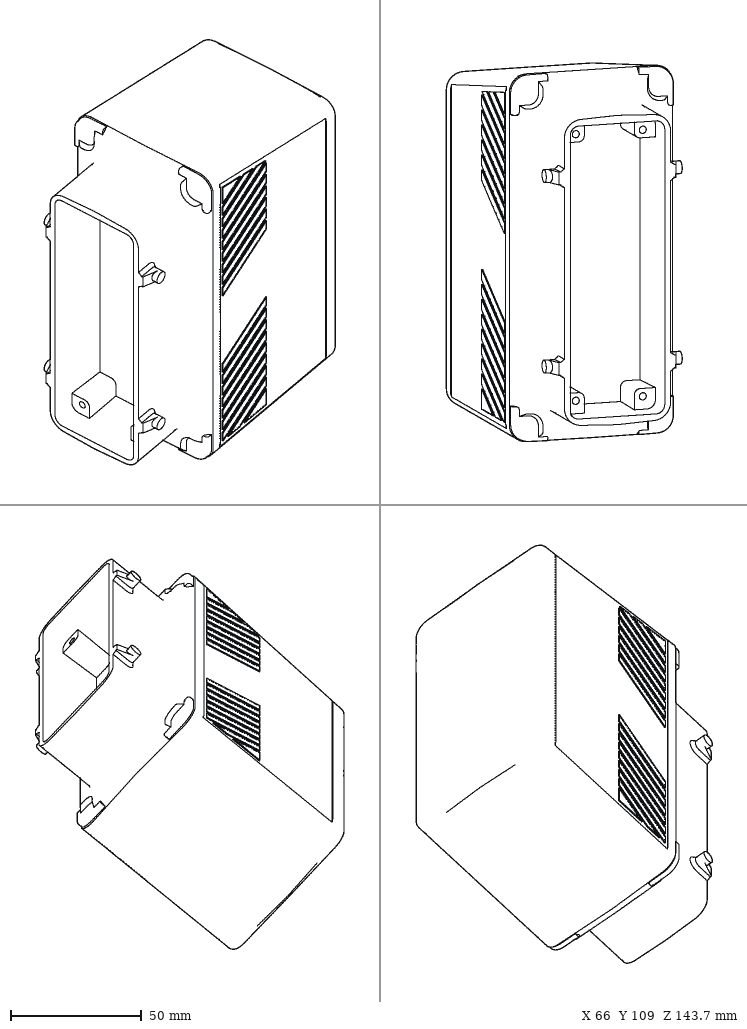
import cadquery as cq
import math


HALF_WIDTH = 33.005
REAR_Y = 82.3
RIM_Y = 5.0
ROOF_PEAK_Z = 143.67
ROOF_ANGLE = 10.0
CORNER_RADIUS = 7.0
REAR_FILLET = 2.4
RIDGE = 0.5
FACE_INSET = 5.0
FACE_HALF_HEIGHT = 67.65
FACE_RADIUS = 2.5
FACE_FILLET = 2.0
MID_Z = 71.35

PAD_Y = 2.0
PAD_INSET = 0.4
PAD_FILLET = 1.0
PAD_INNER_X = 22.3
PAD_INNER_Z = 60.7
PAD_INNER_RADIUS = 4.0
PAD_WALL_RUN = 1.2
LUG_REACH = 3.8
LUG_THICKNESS = 3.0
LUG_RADIUS = 1.2

SHROUD_LENGTH = 26.67
SHROUD_HALF_WIDTH = 21.5
SHROUD_HEIGHT = 119.5
SHROUD_RIDGE = 0.65
ROOT_FILLET = 1.5
CAVITY_DEPTH = 26.2
CAVITY_HALF_WIDTH = 19.1
CAVITY_HEIGHT = 114.4
CAVITY_RADIUS = 3.5
SIDE_DRAFT = 1.2
END_DRAFT = 0.25

POST_LENGTH = 16.4
POST_INNER_X = 10.1
POST_INNER_Z = 48.95
POST_RADIUS = 2.4
SCREW_X = 13.55
SCREW_Z = 52.05
SCREW_DIAMETER = 2.8
SCREW_DEPTH = 10.0

PIN_Z = 37.2
PIN_Y = -20.3
PIN_RADIUS = 2.5
PIN_TIP_X = 27.5
PIN_BASE_X = 23.1
PIN_BASE_FLARE = 1.2
RIB_TOP_X = 25.8
RIB_END_X = 23.6

PANEL_DEPTH = 0.4
PANEL_FRONT_Y = 9.5
PANEL_REAR_Y = 75.2
PANEL_BOTTOM_Z = 4.5
PANEL_ROOF_GAP = 4.5
STRIPE_FRONT_Y = 11.1
STRIPE_REAR_Y = 38.1
STRIPE_BOTTOM_Z = 6.85
STRIPE_ROOF_GAP = 6.9
STRIPE_ANGLE = 30.0
STRIPE_PITCH = 5.85
STRIPE_HEIGHT = 4.1
STRIPE_COUNT = 9
UPPER_GROUP_Z = 96.2
LOWER_GROUP_Z = 61.5

ROOF_SLOPE = math.tan(math.radians(ROOF_ANGLE))
STRIPE_SLOPE = math.tan(math.radians(STRIPE_ANGLE))
SIDES = (-1, 1)
OVERRUN = 8.0
SELECT_MARGIN = 0.1


def roof_z(y):
    """Height of the sloping roof above depth y."""
    return ROOF_PEAK_Z - (y - RIM_Y) * ROOF_SLOPE


def xz_plane(y):
    """Workplane at depth y whose normal points to -Y."""
    return cq.Workplane("XZ", origin=(0, y, 0))


def ridged_outline(plane, half_width, bottom, top, radius, ridge):
    """Rounded rectangle whose top and bottom edges rise to a shallow ridge at X = 0."""
    straight_x = half_width - radius
    bulge = radius * (1 - math.sqrt(0.5))
    return (
        plane.moveTo(-straight_x, bottom)
        .lineTo(0, bottom - ridge)
        .lineTo(straight_x, bottom)
        .threePointArc((half_width - bulge, bottom + bulge), (half_width, bottom + radius))
        .lineTo(half_width, top - radius)
        .threePointArc((half_width - bulge, top - bulge), (straight_x, top))
        .lineTo(0, top + ridge)
        .lineTo(-straight_x, top)
        .threePointArc((bulge - half_width, top - bulge), (-half_width, top - radius))
        .lineTo(-half_width, bottom + radius)
        .threePointArc((bulge - half_width, bottom + bulge), (-straight_x, bottom))
        .close()
    )


def hood_outline(plane, y, inset=0.0):
    return ridged_outline(
        plane, HALF_WIDTH - inset, inset, roof_z(y) - inset, CORNER_RADIUS - inset, RIDGE
    )


def yz_prism(points, x_start, x_end):
    """Prism along X from points given as (y, z)."""
    plane = cq.Workplane("YZ", origin=(x_start, 0, 0))
    return plane.polyline(points).close().extrude(x_end - x_start)


def make_hood():
    rear_distance = REAR_Y - RIM_Y
    front = hood_outline(xz_plane(RIM_Y), RIM_Y)
    body = hood_outline(front.workplane(offset=-rear_distance), REAR_Y).loft(ruled=True)
    body = body.faces(">Y").edges().fillet(REAR_FILLET)
    bevel = ridged_outline(
        hood_outline(xz_plane(RIM_Y), RIM_Y).workplane(offset=RIM_Y),
        HALF_WIDTH - FACE_INSET, MID_Z - FACE_HALF_HEIGHT, MID_Z + FACE_HALF_HEIGHT,
        FACE_RADIUS, RIDGE,
    ).loft(ruled=True)
    bevel = bevel.faces("<Y").edges().fillet(FACE_FILLET)
    envelope = yz_prism(
        [(0, 0), (REAR_Y, 0), (REAR_Y, roof_z(REAR_Y)), (0, roof_z(0))], -HALF_WIDTH, HALF_WIDTH
    )
    return body.union(bevel).intersect(envelope)


def corner_block(side, end, inner_x, inner_z, inner_radius):
    """Block over one hood corner, running outward past the hood outline; inner_z is from MID_Z."""
    width = HALF_WIDTH + OVERRUN - inner_x
    height = MID_Z + OVERRUN - inner_z
    x_mid = side * (inner_x + width / 2)
    z_mid = MID_Z + end * (inner_z + height / 2)
    outline = cq.Sketch().rect(width, height).vertices().fillet(inner_radius)
    return xz_plane(RIM_Y).center(x_mid, z_mid).placeSketch(outline).extrude(RIM_Y - PAD_Y)


def pad_pocket(side, end):
    """Space in front of a pad, widening with a sloped wall up to the mating face."""
    pad = corner_block(side, end, PAD_INNER_X, PAD_INNER_Z, PAD_INNER_RADIUS)
    wall_angle = math.degrees(math.atan2(PAD_WALL_RUN, PAD_Y))
    return pad.faces("<Y").wires().toPending().workplane().extrude(
        PAD_Y, taper=-wall_angle, combine=False
    )


def add_corner_pads(hood):
    pad_layer = hood_outline(xz_plane(RIM_Y), RIM_Y, PAD_INSET).extrude(RIM_Y - PAD_Y)
    pad_layer = pad_layer.faces("<Y").edges().fillet(PAD_FILLET)
    lug_x = HALF_WIDTH - LUG_THICKNESS
    lug_z = MID_Z - LUG_THICKNESS
    for side in SIDES:
        for end in SIDES:
            region = corner_block(side, end, PAD_INNER_X, PAD_INNER_Z, PAD_INNER_RADIUS)
            side_lug = corner_block(side, end, lug_x, PAD_INNER_Z - LUG_REACH, LUG_RADIUS)
            end_lug = corner_block(side, end, PAD_INNER_X - LUG_REACH, lug_z, LUG_RADIUS)
            region = region.union(side_lug).union(end_lug)
            hood = hood.cut(pad_pocket(side, end)).union(pad_layer.intersect(region))
    return hood


def make_stripes(x_start, x_end):
    """Slanted stripes in two groups, bounded by the roof line and the panel bottom."""
    field = [
        (STRIPE_FRONT_Y, STRIPE_BOTTOM_Z),
        (STRIPE_REAR_Y, STRIPE_BOTTOM_Z),
        (STRIPE_REAR_Y, roof_z(STRIPE_REAR_Y) - STRIPE_ROOF_GAP),
        (STRIPE_FRONT_Y, roof_z(STRIPE_FRONT_Y) - STRIPE_ROOF_GAP),
    ]
    drop = (STRIPE_REAR_Y - STRIPE_FRONT_Y) * STRIPE_SLOPE

    def band(low, high):
        points = [
            (STRIPE_REAR_Y, low),
            (STRIPE_REAR_Y, high),
            (STRIPE_FRONT_Y, high - drop),
            (STRIPE_FRONT_Y, low - drop),
        ]
        return yz_prism(points, x_start, x_end)

    bands = cq.Workplane("YZ")
    for index in range(STRIPE_COUNT):
        height = STRIPE_HEIGHT if index < STRIPE_COUNT - 1 else STRIPE_HEIGHT + 2 * STRIPE_PITCH
        low = UPPER_GROUP_Z + index * STRIPE_PITCH
        high = LOWER_GROUP_Z - index * STRIPE_PITCH
        bands = bands.add(band(low, low + height)).add(band(high - height, high))
    return bands.combine().intersect(yz_prism(field, x_start, x_end))


def side_panel_pocket():
    """Material removed from the +X side of the hood."""
    floor_x = HALF_WIDTH - PANEL_DEPTH
    panel = [
        (PANEL_FRONT_Y, PANEL_BOTTOM_Z),
        (PANEL_REAR_Y, PANEL_BOTTOM_Z),
        (PANEL_REAR_Y, roof_z(PANEL_REAR_Y) - PANEL_ROOF_GAP),
        (PANEL_FRONT_Y, roof_z(PANEL_FRONT_Y) - PANEL_ROOF_GAP),
    ]
    pocket = yz_prism(panel, floor_x, HALF_WIDTH)
    return pocket.cut(make_stripes(floor_x, HALF_WIDTH))


def make_shroud():
    half_height = SHROUD_HEIGHT / 2
    outline = ridged_outline(
        xz_plane(RIM_Y), SHROUD_HALF_WIDTH, MID_Z - half_height, MID_Z + half_height,
        CORNER_RADIUS, SHROUD_RIDGE,
    )
    return outline.extrude(RIM_Y + SHROUD_LENGTH)


def fillet_shroud_root(part):
    reach = SELECT_MARGIN
    height = SHROUD_HEIGHT / 2 + SHROUD_RIDGE + reach
    low = (-SHROUD_HALF_WIDTH - reach, -reach, MID_Z - height)
    high = (SHROUD_HALF_WIDTH + reach, reach, MID_Z + height)
    return part.edges(cq.selectors.BoxSelector(low, high, boundingbox=True)).fillet(ROOT_FILLET)


def cavity_outline(plane, half_width, half_height):
    return ridged_outline(
        plane, half_width, MID_Z - half_height, MID_Z + half_height, CAVITY_RADIUS, 0
    )


def make_cavity():
    half_height = CAVITY_HEIGHT / 2
    mouth = cavity_outline(xz_plane(-SHROUD_LENGTH), CAVITY_HALF_WIDTH, half_height)
    floor = mouth.workplane(offset=-CAVITY_DEPTH)
    return cavity_outline(
        floor, CAVITY_HALF_WIDTH - SIDE_DRAFT, half_height - END_DRAFT
    ).loft(ruled=True)


def make_post(side, end):
    """Post in one cavity corner, merged into the walls, with a blind screw hole."""
    floor_y = CAVITY_DEPTH - SHROUD_LENGTH
    width = (CAVITY_HALF_WIDTH + SHROUD_HALF_WIDTH) / 2 - POST_INNER_X
    height = (CAVITY_HEIGHT + SHROUD_HEIGHT) / 4 - POST_INNER_Z
    x_mid = side * (POST_INNER_X + width / 2)
    z_mid = MID_Z + end * (POST_INNER_Z + height / 2)
    post = xz_plane(floor_y).center(x_mid, z_mid).rect(width, height).extrude(POST_LENGTH)
    edges = post.faces("<X" if side > 0 else ">X").edges("<Z" if end > 0 else ">Z")
    post = edges.fillet(POST_RADIUS)
    hole = xz_plane(floor_y + SCREW_DEPTH - POST_LENGTH)
    hole = hole.center(side * SCREW_X, MID_Z + end * SCREW_Z).circle(SCREW_DIAMETER / 2)
    return post.cut(hole.extrude(SCREW_DEPTH)).intersect(make_shroud())


def keyhole(x, z, radius):
    """Slot outline on a plane at x, round at the pin and running past the shroud mouth."""
    end_y = -SHROUD_LENGTH - 2 * PIN_BASE_FLARE
    return (
        cq.Workplane("YZ", origin=(x, 0, 0))
        .moveTo(end_y, z - radius)
        .lineTo(PIN_Y, z - radius)
        .threePointArc((PIN_Y + radius, z), (PIN_Y, z + radius))
        .lineTo(end_y, z + radius)
        .close()
    )


def make_pin(end):
    """Locking pin on the +X side: flared base, sloping rib and cylindrical tip."""
    z = MID_Z + end * PIN_Z
    wall_x = (SHROUD_HALF_WIDTH + CAVITY_HALF_WIDTH) / 2
    foot = keyhole(wall_x, z, PIN_RADIUS + PIN_BASE_FLARE).extrude(SHROUD_HALF_WIDTH - wall_x)
    flare_angle = math.degrees(math.atan2(PIN_BASE_FLARE, PIN_BASE_X - SHROUD_HALF_WIDTH))
    flare = keyhole(SHROUD_HALF_WIDTH, z, PIN_RADIUS + PIN_BASE_FLARE)
    flare = flare.extrude(PIN_BASE_X - SHROUD_HALF_WIDTH, taper=flare_angle)
    rib_profile = [
        (wall_x, PIN_Y),
        (RIB_TOP_X, PIN_Y),
        (RIB_END_X, -SHROUD_LENGTH),
        (wall_x, -SHROUD_LENGTH),
    ]
    rib = cq.Workplane("XY", origin=(0, 0, z - PIN_RADIUS)).polyline(rib_profile).close()
    rib = rib.extrude(2 * PIN_RADIUS)
    tip = cq.Workplane("YZ", origin=(wall_x, 0, 0)).center(PIN_Y, z).circle(PIN_RADIUS)
    tip = tip.extrude(PIN_TIP_X - wall_x)
    mouth_trim = xz_plane(-SHROUD_LENGTH).center(0, z).rect(4 * SHROUD_HALF_WIDTH, 4 * PIN_RADIUS)
    mouth_trim = mouth_trim.extrude(4 * PIN_BASE_FLARE)
    return foot.union(flare).union(rib).union(tip).cut(mouth_trim)


def make_part():
    part = fillet_shroud_root(make_hood().union(make_shroud()))
    part = add_corner_pads(part)
    pocket = side_panel_pocket()
    part = part.cut(pocket).cut(pocket.mirror("YZ"))
    part = part.cut(make_cavity())
    for end in SIDES:
        pin = make_pin(end)
        part = part.union(pin).union(pin.mirror("YZ"))
        for side in SIDES:
            part = part.union(make_post(side, end))
    return part


result = make_part()